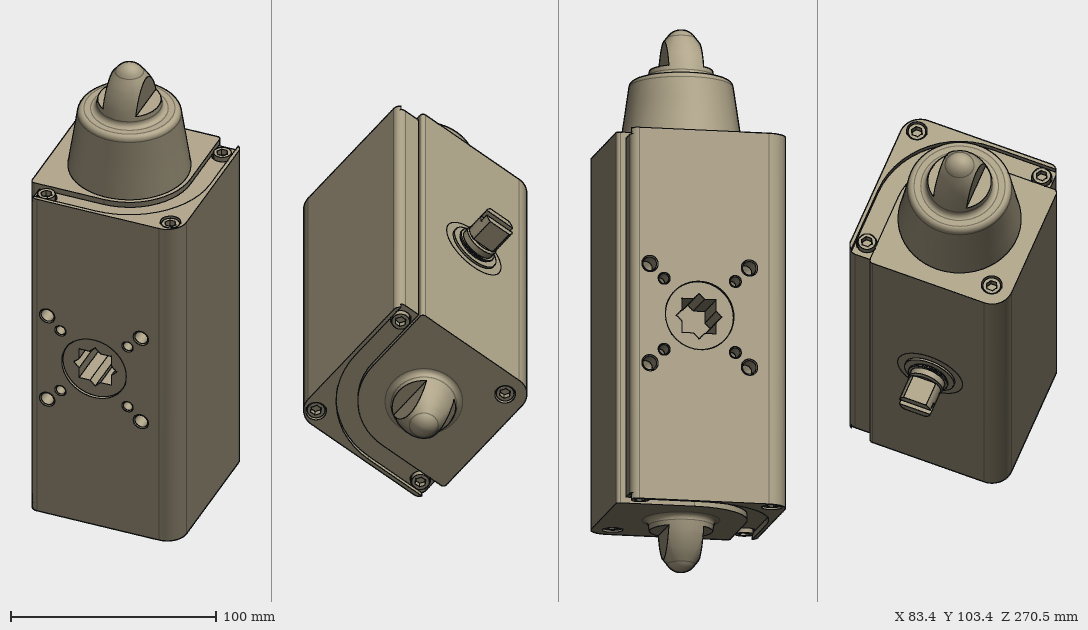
import cadquery as cq
import math


half_length = 92.5
block_outer = 38.7
block_inner = 32.2
block_edge_radius = 2.0
flange_outer = 44.7
flange_left = 34.0
flange_back = 35.7
flange_edge_radius = 4.0
large_corner_radius = 10.3

channel_outer = 42.8
channel_depth = 3.0

screw_near = 28.2
screw_far = 37.4
counterbore_diameter = 10.0
counterbore_depth = 5.5
screw_head_diameter = 8.7
screw_head_drop = 0.8
hex_across_flats = 5.0
hex_depth = 3.2

cone_base_radius = 30.0
cone_top_radius = 25.5
cone_flat_radius = 22.2
cone_height = 33.5
cone_round_height = 2.7

cap_height = 26.0
cap_radius = 16.0
cap_foot_fillet = 3.0
cap_bulge = (12.5, 13.5)
cap_tip_radius = 7.0
cap_tip_height = 4.0
cap_flat_half_width = 8.7
cap_flat_start = 5.5

hole_chamfer_depth = 0.5
hole_depth = 10.8
drill_point_angle = 118
outer_hole_spacing = 49.5
outer_hole_diameter = 6.8
outer_hole_mouth = 8.0
inner_hole_spacing = 35.5
inner_hole_diameter = 5.0
inner_hole_mouth = 6.0

shaft_diameter = 34.0
shaft_recess = 1.5
star_square_sides = ((0, 17.0), (45, 16.0))
star_depth = 27.0
washer_diameter = 26.0
washer_thickness = 1.0
seat_diameter = 19.0
seat_thickness = 1.0
ring_diameter = 20.5
ring_thickness = 0.8
collar_diameter = 18.0
collar_length = 4.0
collar_chamfer_length = 1.4
collar_chamfer_width = 0.8
stub_diameter = 16.8
stub_flat_width = 12.0
stub_end = 58.7
stub_slot_width = 4.3
stub_slot_depth = 4.3


def upright_box(x_min, x_max, y_min, y_max, height):
    """Box standing on z = 0."""
    return cq.Workplane("XY").box(x_max - x_min, y_max - y_min, height, centered=False).translate(
        (x_min, y_min, 0)
    )


def rounded_quarter(reach, height):
    """Prism reaching +X and -Y by `reach`, with that corner rounded about the Z axis."""
    far = 2 * flange_outer
    diagonal = reach * math.sqrt(0.5)
    return (
        cq.Workplane("XY")
        .moveTo(-far, far)
        .lineTo(reach, far)
        .lineTo(reach, 0)
        .threePointArc((diagonal, -diagonal), (0, -reach))
        .lineTo(-far, -reach)
        .close()
        .extrude(height)
    )


def housing_extrusion():
    """Cylinder block and the wider flange that runs along two of its sides."""
    length = 2 * half_length
    block = upright_box(-block_outer, block_inner, -block_inner, block_outer, length)
    block = block.edges("|Z and <X and >Y").fillet(large_corner_radius)
    block = block.edges("|Z and ((<X and <Y) or (>X and >Y))").fillet(block_edge_radius)

    flange = upright_box(-flange_left, flange_outer, -flange_outer, flange_back, length)
    flange = flange.edges("|Z and >X and <Y").fillet(large_corner_radius)
    flange = flange.edges("|Z and ((<X and <Y) or (>X and >Y))").fillet(flange_edge_radius)
    flange = flange.cut(upright_box(-flange_left, 0, 0, flange_back, length))
    return block.union(flange).translate((0, 0, -half_length))


def screw_points(z):
    """Workplane at height z holding the four screw positions."""
    points = [(x, y) for x in (-screw_near, screw_far) for y in (screw_near, -screw_far)]
    return cq.Workplane("XY").workplane(offset=z).pushPoints(points)


def end_recesses():
    """Channel and screw counterbores sunk in the upper end face."""
    channel = rounded_quarter(channel_outer, channel_depth).cut(
        rounded_quarter(block_inner, channel_depth)
    )
    channel = channel.translate((0, 0, half_length - channel_depth))
    counterbores = screw_points(half_length).circle(counterbore_diameter / 2).extrude(-counterbore_depth)
    return channel.union(counterbores)


def screw_heads():
    """Heads with hexagon sockets, standing on the upper counterbore floors."""
    head_top = half_length - screw_head_drop
    head_height = counterbore_depth - screw_head_drop
    heads = screw_points(head_top).circle(screw_head_diameter / 2).extrude(-head_height)
    hex_across_corners = 2 * hex_across_flats / math.sqrt(3)
    return heads.cut(screw_points(head_top).polygon(6, hex_across_corners).extrude(-hex_depth))


def spring_cover():
    """Tapered cover with a rounded rim, standing on z = 0."""
    rim_height = cone_height - cone_round_height
    rim_run = cone_top_radius - cone_flat_radius
    rim_mid = (
        cone_flat_radius + rim_run * math.sqrt(0.5),
        rim_height + cone_round_height * math.sqrt(0.5),
    )
    return (
        cq.Workplane("XZ")
        .lineTo(cone_base_radius, 0)
        .lineTo(cone_top_radius, rim_height)
        .threePointArc(rim_mid, (cone_flat_radius, cone_height))
        .lineTo(0, cone_height)
        .close()
        .revolve(360, (0, 0, 0), (0, 1, 0))
    )


def stop_cap():
    """Pointed dome with a flared foot on z = 0 and a flat on each X side."""
    foot_radius = cap_radius + cap_foot_fillet
    foot_step = cap_foot_fillet * (1 - math.sqrt(0.5))
    tip_base = cap_height - cap_tip_height
    tip_sphere_radius = (cap_tip_radius**2 + cap_tip_height**2) / (2 * cap_tip_height)
    tip_mid_radius = cap_tip_radius / 2
    tip_mid_height = (
        cap_height - tip_sphere_radius + math.sqrt(tip_sphere_radius**2 - tip_mid_radius**2)
    )
    cap = (
        cq.Workplane("XZ")
        .lineTo(foot_radius, 0)
        .threePointArc((cap_radius + foot_step, foot_step), (cap_radius, cap_foot_fillet))
        .threePointArc(cap_bulge, (cap_tip_radius, tip_base))
        .threePointArc((tip_mid_radius, tip_mid_height), (0, cap_height))
        .close()
        .revolve(360, (0, 0, 0), (0, 1, 0))
    )
    for x_min, x_max in ((-foot_radius, -cap_flat_half_width), (cap_flat_half_width, foot_radius)):
        beside_flat = upright_box(x_min, x_max, -foot_radius, foot_radius, cap_height)
        cap = cap.cut(beside_flat.translate((0, 0, cap_flat_start)))
    return cap


def mounting_hole(diameter, mouth_diameter):
    """Chamfered blind hole with a drill point, entering along +Y from y = 0."""
    radius = diameter / 2
    point_length = radius / math.tan(math.radians(drill_point_angle / 2))
    return (
        cq.Workplane("XY")
        .lineTo(mouth_diameter / 2, 0)
        .lineTo(radius, hole_chamfer_depth)
        .lineTo(radius, hole_depth)
        .lineTo(0, hole_depth + point_length)
        .close()
        .revolve(360, (0, 0, 0), (0, 1, 0))
    )


def rod(diameter, y_start, y_end):
    """Cylinder along Y on the shaft axis."""
    return (
        cq.Workplane("XZ", origin=(0, y_start, 0)).circle(diameter / 2).extrude(y_start - y_end)
    )


def make_housing():
    body = housing_extrusion()
    recesses = end_recesses()
    body = body.cut(recesses).cut(recesses.mirror("XY"))
    heads = screw_heads()
    body = body.union(heads).union(heads.mirror("XY"))

    body = body.union(spring_cover().translate((0, 0, half_length)))
    body = body.union(stop_cap().translate((0, 0, half_length + cone_height)))
    body = body.union(stop_cap().mirror("XY").translate((0, 0, -half_length)))

    hole_sets = (
        (outer_hole_spacing, outer_hole_diameter, outer_hole_mouth),
        (inner_hole_spacing, inner_hole_diameter, inner_hole_mouth),
    )
    for spacing, diameter, mouth in hole_sets:
        hole = mounting_hole(diameter, mouth)
        for x in (-spacing / 2, spacing / 2):
            for z in (-spacing / 2, spacing / 2):
                body = body.cut(hole.translate((x, -flange_outer, z)))

    return body.cut(rod(shaft_diameter, -flange_outer, block_outer))


def make_shaft():
    front = -flange_outer + shaft_recess
    washer_end = block_outer + washer_thickness
    seat_end = washer_end + seat_thickness
    ring_end = seat_end + ring_thickness
    collar_end = ring_end + collar_length

    stub = rod(stub_diameter, collar_end, stub_end)
    stub = stub.intersect(
        cq.Workplane("XY").box(stub_diameter, 2 * stub_end, stub_flat_width)
    )
    slot = cq.Workplane("XY").box(stub_diameter, 2 * stub_slot_depth, stub_slot_width)
    stub = stub.cut(slot.translate((0, stub_end, 0)))

    shaft = rod(shaft_diameter, front, block_outer)
    shaft = shaft.union(rod(washer_diameter, block_outer, washer_end))
    shaft = shaft.union(rod(seat_diameter, washer_end, seat_end))
    shaft = shaft.union(rod(ring_diameter, seat_end, ring_end))
    collar = rod(collar_diameter, ring_end, collar_end)
    collar = collar.faces(">Y").chamfer(collar_chamfer_width, collar_chamfer_length)
    shaft = shaft.union(collar)
    shaft = shaft.union(stub)

    for angle, side in star_square_sides:
        socket = cq.Workplane("XY").box(side, 2 * star_depth, side)
        socket = socket.rotate((0, 0, 0), (0, 1, 0), angle)
        shaft = shaft.cut(socket.translate((0, front, 0)))
    return shaft


housing = make_housing()
shaft = make_shaft()
result = cq.Compound.makeCompound([housing.val(), shaft.val()])